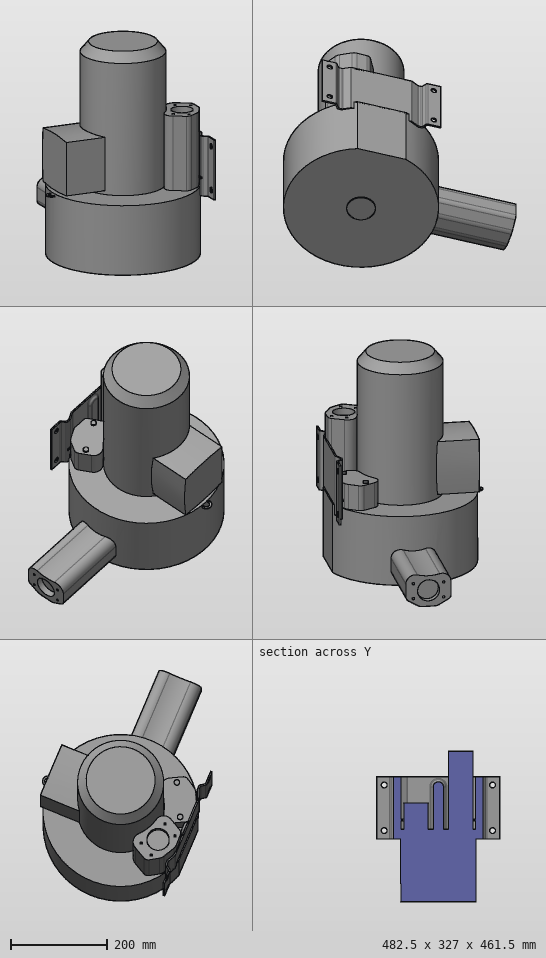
import cadquery as cq
import math


overall_length = 482.5
housing_radius = 161.0
housing_bottom = 3.0
housing_top = 154.0
back_face_y = 152.5
pad_radius = 30.0

motor_radius = 89.0
motor_top = 461.5
cone_height = 21.0
cone_top_radius = 71.5

box_half_width = 58.0
box_front_y = -156.3
box_bottom = 162.0
box_height = 115.7
box_bow = 3.5

port_half_width = 47.7
port_shoulder = 35.5
port_shoulder_radius = 19.5
port_saddle_radius = 90.0
port_base = 35.0
port_base_half_width = 18.5
port_flank_angle = 30.0
port_flank_radius = 11.5
port_base_radius = 19.5

bore_radius = 23.0
bore_depth = 14.5
screw_hole_radius = 2.5
screw_hole_x = 32.0
screw_hole_y = 16.5

pipe_end_x = housing_radius - overall_length
pipe_axis_z = 46.0
muffler_offset = 122.5
muffler_angle = 28.0
left_muffler_top = 208.5
right_muffler_top = 315.5
bolt_radius = 6.0
bolt_height = 3.5
bolt_spacing = 73.5
bolt_y = 2.0

sheet = 3.5
bracket_bottom = 133.0
bracket_top = 263.0
bend_radius = 4.0
ear_end_x = 128.0
ear_bend_x = 98.5
trough_outer_x = 90.5
trough_inner_x = 81.5
plate_end_x = 65.0
ear_y = back_face_y - sheet / 2
trough_y = 140.0
plate_y = 148.0
ear_hole_radius = 6.0
ear_hole_x = 112.5
ear_hole_spacing = 94.5

rib_root_half_width = 18.0
rib_front_half_width = 10.5
rib_front_y = 140.0
rib_arch_z = 241.0
rib_fillet = 3.0

clip_height = 4.0
clip_thickness = 1.5
clip_z = 172.5

eye_outer_radius = 11.5
eye_width = 5.0
eye_thickness = 2.0
eye_end_y = -174.5
eye_z = 148.5

pick_margin = 0.5


def make_housing():
    """Round housing with a flat back and a thin foot pad underneath."""
    drum = (
        cq.Workplane("XY", origin=(0, 0, housing_bottom))
        .circle(housing_radius)
        .extrude(housing_top - housing_bottom)
    )
    depth = back_face_y + housing_radius
    envelope = cq.Workplane("XY").box(
        2 * housing_radius, depth, housing_top, centered=(True, False, False)
    ).translate((0, -housing_radius, 0))
    pad = cq.Workplane("XY").circle(pad_radius).extrude(housing_top)
    return drum.intersect(envelope).union(pad)


def make_motor():
    """Motor barrel with a conical cap, rising from the housing floor."""
    cone_bottom = motor_top - cone_height
    return (
        cq.Workplane("XZ")
        .moveTo(0, housing_bottom)
        .lineTo(motor_radius, housing_bottom)
        .lineTo(motor_radius, cone_bottom)
        .lineTo(cone_top_radius, motor_top)
        .lineTo(0, motor_top)
        .close()
        .revolve(360, (0, 0, 0), (0, 1, 0))
    )


def make_terminal_box():
    """Box on the motor's front, bowed outward at its top, bottom and left side."""
    box_top = box_bottom + box_height
    middle_z = box_bottom + box_height / 2
    return (
        cq.Workplane("XZ")
        .moveTo(box_half_width, box_bottom)
        .lineTo(box_half_width, box_top)
        .threePointArc((0, box_top + box_bow), (-box_half_width, box_top))
        .threePointArc((-box_half_width - box_bow, middle_z), (-box_half_width, box_bottom))
        .threePointArc((0, box_bottom - box_bow), (box_half_width, box_bottom))
        .close()
        .extrude(-box_front_y)
    )


def make_port_body(length):
    """Port section extruded along +Z, with the saddle on its +Y side."""
    shoulder_x = port_half_width - port_shoulder_radius
    shoulder_y = port_shoulder - port_shoulder_radius
    centre_distance = port_saddle_radius + port_shoulder_radius
    saddle_y = shoulder_y + math.sqrt(centre_distance**2 - shoulder_x**2)
    share = port_saddle_radius / centre_distance
    tangent_x = shoulder_x * share
    tangent_y = saddle_y + (shoulder_y - saddle_y) * share

    tangent_angle = math.atan2(saddle_y - shoulder_y, -shoulder_x)
    middle_x = shoulder_x + port_shoulder_radius * math.cos(tangent_angle / 2)
    middle_y = shoulder_y + port_shoulder_radius * math.sin(tangent_angle / 2)

    flank_rise = (port_half_width - port_base_half_width) * math.tan(math.radians(port_flank_angle))
    flank_y = flank_rise - port_base
    body = (
        cq.Workplane("XY")
        .moveTo(-port_base_half_width, -port_base)
        .lineTo(port_base_half_width, -port_base)
        .lineTo(port_half_width, flank_y)
        .lineTo(port_half_width, shoulder_y)
        .threePointArc((middle_x, middle_y), (tangent_x, tangent_y))
        .threePointArc((0, saddle_y - port_saddle_radius), (-tangent_x, tangent_y))
        .threePointArc((-middle_x, middle_y), (-port_half_width, shoulder_y))
        .lineTo(-port_half_width, flank_y)
        .close()
        .extrude(length)
    )
    flank_corners = cq.selectors.BoxSelector(
        (-port_half_width - pick_margin, flank_y - pick_margin, 0),
        (port_half_width + pick_margin, flank_y + pick_margin, length),
    )
    base_corners = cq.selectors.BoxSelector(
        (-port_half_width, -port_base - pick_margin, 0),
        (port_half_width, -port_base + pick_margin, length),
    )
    return (
        body.edges("|Z")
        .edges(flank_corners)
        .fillet(port_flank_radius)
        .edges("|Z")
        .edges(base_corners)
        .fillet(port_base_radius)
    )


def make_open_port(length):
    """Port body with a blind bore and four screw holes in its far end."""
    end = cq.Workplane("XY", origin=(0, 0, length))
    bore = end.circle(bore_radius).extrude(-bore_depth)
    screw_holes = (
        end.rect(2 * screw_hole_x, 2 * screw_hole_y, forConstruction=True)
        .vertices()
        .circle(screw_hole_radius)
        .extrude(-bore_depth)
    )
    return make_port_body(length).cut(bore).cut(screw_holes)


def make_capped_port(length):
    """Port body closed at its far end and carrying two bolt heads."""
    bolts = (
        cq.Workplane("XY", origin=(0, 0, length))
        .pushPoints([(-bolt_spacing / 2, bolt_y), (bolt_spacing / 2, bolt_y)])
        .circle(bolt_radius)
        .extrude(bolt_height)
    )
    return make_port_body(length).union(bolts)


def place_pipe(port):
    """Lay a port along -X with its saddle on top."""
    return (
        port.rotate((0, 0, 0), (0, 0, 1), -90)
        .rotate((0, 0, 0), (0, 1, 0), -90)
        .translate((0, 0, pipe_axis_z))
    )


def place_muffler(port, angle):
    """Stand a port behind the motor with its saddle wrapped round the motor."""
    return (
        port.rotate((0, 0, 0), (0, 0, 1), 180)
        .translate((0, muffler_offset, housing_bottom))
        .rotate((0, 0, 0), (0, 0, 1), angle)
    )


def offset_path(points, distance):
    """Shift an open path sideways, mitred at its bends."""
    normals = []
    for (x0, y0), (x1, y1) in zip(points, points[1:]):
        span = math.hypot(x1 - x0, y1 - y0)
        normals.append(((y0 - y1) / span, (x1 - x0) / span))
    before = normals[:1] + normals
    after = normals + normals[-1:]
    shifted = []
    for (x, y), (ax, ay), (bx, by) in zip(points, before, after):
        scale = distance / (1 + ax * bx + ay * by)
        shifted.append((x + scale * (ax + bx), y + scale * (ay + by)))
    return shifted


def make_bracket():
    """Folded sheet with a holed ear at each end."""
    right_half = [
        (plate_end_x, plate_y),
        (trough_inner_x, trough_y),
        (trough_outer_x, trough_y),
        (ear_bend_x, ear_y),
        (ear_end_x, ear_y),
    ]
    left_half = [(-x, y) for x, y in reversed(right_half)]
    path = left_half + right_half
    outline = offset_path(path, sheet / 2) + offset_path(path, -sheet / 2)[::-1]
    height = bracket_top - bracket_bottom
    bends = cq.selectors.BoxSelector(
        (-ear_end_x + pick_margin, 0, 0),
        (ear_end_x - pick_margin, housing_radius, motor_top),
    )
    strip = (
        cq.Workplane("XY", origin=(0, 0, bracket_bottom))
        .polyline(outline)
        .close()
        .extrude(height)
        .edges("|Z")
        .edges(bends)
        .fillet(bend_radius)
    )
    holes = (
        cq.Workplane("XZ", origin=(0, ear_y, bracket_bottom + height / 2))
        .rect(2 * ear_hole_x, ear_hole_spacing, forConstruction=True)
        .vertices()
        .circle(ear_hole_radius)
        .extrude(sheet, both=True)
    )
    return strip.cut(holes)


def make_rib():
    """Tapered rib with an arched top, standing out from the bracket plate."""
    depth = plate_y - rib_front_y
    taper = math.degrees(math.atan2(rib_root_half_width - rib_front_half_width, depth))
    return (
        cq.Workplane("XZ", origin=(0, plate_y, 0))
        .moveTo(-rib_root_half_width, bracket_bottom)
        .lineTo(rib_root_half_width, bracket_bottom)
        .lineTo(rib_root_half_width, rib_arch_z)
        .threePointArc((0, rib_arch_z + rib_root_half_width), (-rib_root_half_width, rib_arch_z))
        .close()
        .extrude(depth, taper=taper)
        .faces("<Y")
        .edges("not <Z")
        .fillet(rib_fillet)
    )


def make_ribbed_bracket():
    """Bracket with the rib blended into the front of its plate."""
    front_y = plate_y - sheet / 2
    root_edges = cq.selectors.BoxSelector(
        (-plate_end_x, front_y - pick_margin, bracket_bottom + pick_margin),
        (plate_end_x, front_y + pick_margin, bracket_top - pick_margin),
    )
    return make_bracket().union(make_rib()).edges(root_edges).fillet(rib_fillet)


def make_clip():
    """Bar along the front of the bracket's right-hand trough and the web beside it."""
    path = [(trough_outer_x, trough_y), (trough_inner_x, trough_y), (plate_end_x, plate_y)]
    back = offset_path(path, 0)
    front = offset_path(path, sheet / 2 + clip_thickness)
    return (
        cq.Workplane("XY", origin=(0, 0, clip_z - clip_height / 2))
        .polyline(back + front[::-1])
        .close()
        .extrude(clip_height)
    )


def make_lifting_eye():
    """Flat U-shaped eye projecting from the front of the housing."""
    arc_y = eye_end_y + eye_outer_radius
    root_y = eye_outer_radius - housing_radius
    inner_radius = eye_outer_radius - eye_width
    return (
        cq.Workplane("XY", origin=(0, 0, eye_z - eye_thickness / 2))
        .moveTo(-eye_outer_radius, root_y)
        .lineTo(-eye_outer_radius, arc_y)
        .threePointArc((0, eye_end_y), (eye_outer_radius, arc_y))
        .lineTo(eye_outer_radius, root_y)
        .lineTo(inner_radius, root_y)
        .lineTo(inner_radius, arc_y)
        .threePointArc((0, eye_end_y + eye_width), (-inner_radius, arc_y))
        .lineTo(-inner_radius, root_y)
        .close()
        .extrude(eye_thickness)
    )


left_muffler = make_capped_port(left_muffler_top - housing_bottom)
right_muffler = make_open_port(right_muffler_top - housing_bottom)
clip = make_clip()

result = (
    make_housing()
    .union(make_motor())
    .union(make_terminal_box())
    .union(place_pipe(make_open_port(-pipe_end_x)))
    .union(place_muffler(left_muffler, muffler_angle))
    .union(place_muffler(right_muffler, -muffler_angle))
    .union(make_ribbed_bracket())
    .union(clip)
    .union(clip.mirror("YZ"))
    .union(make_lifting_eye())
)